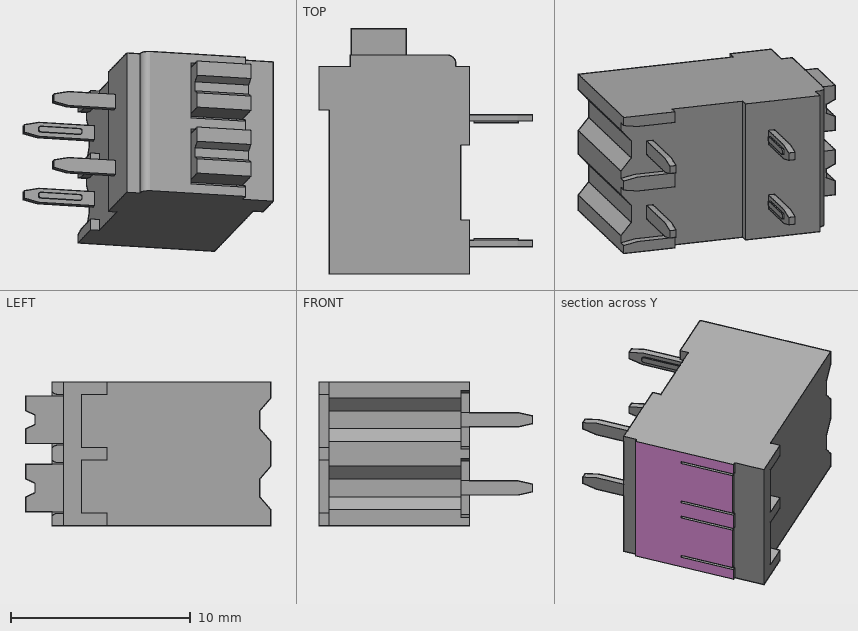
import cadquery as cq

total_length = 13.65
pin_tip_x = 11.9
height = 8.01

pitch = 3.8
middle_z = height / 2
row_heights = [middle_z - pitch / 2, middle_z + pitch / 2]

wall_x = 0.57
foot_x = 8.4
foot_recess_x = 7.9
front_foot_y = 3.02
rear_foot_y = 7.17
flange_start_y = 9.12
shoulder_y = 11.55
nose_y = 12.19
nose_start_x = 1.75
nose_end_x = 7.63
nose_corner_size = 0.41
nose_corner_radius = 0.52

flange_rib = 0.71
window_height = (height - 3 * flange_rib) / 2
window_end_y = 10.54

groove_depth = 0.61
groove_mouth = 2.42
groove_floor = 1.0

opening_front = 3.26
opening_rear = 2.98
opening_taper_depth = 0.82

contact_start_x = 1.8
contact_end_x = 4.87
contact_height = 2.65
notch_depth = 0.52
notch_mouth = 1.01
notch_floor = 0.52
pocket_height = 2.83
flare_length = 0.33
flare_radius = 0.41

pin_height = 0.8
pin_thickness = 0.37
pin_tip_height = 0.44
pin_taper_x = 11.08
front_pin_y = 1.52
rear_pin_y = 8.5
rib_start_x = 8.63
rib_end_x = 11.11
rib_height = 0.33
rib_corner_radius = 0.14
rib_thickness = 0.1


def block(x0, x1, y0, y1, z0, z1):
    return cq.Workplane("XY").box(x1 - x0, y1 - y0, z1 - z0, centered=False).translate((x0, y0, z0))


def trapezoid_along_x(x0, x1, y0, y1, z, width0, width1):
    """Prism along X whose Z width changes from width0 at y0 to width1 at y1."""
    return (
        cq.Workplane("YZ", origin=(x0, 0, z))
        .polyline([(y0, -width0 / 2), (y1, -width1 / 2), (y1, width1 / 2), (y0, width0 / 2)])
        .close()
        .extrude(x1 - x0)
    )


def make_housing_blank():
    outline = [
        (wall_x, 0),
        (foot_x, 0),
        (foot_x, front_foot_y),
        (foot_recess_x, front_foot_y),
        (foot_recess_x, rear_foot_y),
        (foot_x, rear_foot_y),
        (foot_x, shoulder_y),
        (nose_end_x, shoulder_y),
        (nose_end_x, nose_y - nose_corner_size),
    ]
    return (
        cq.Workplane("XY")
        .polyline(outline)
        .radiusArc((nose_end_x - nose_corner_size, nose_y), -nose_corner_radius)
        .lineTo(nose_start_x, nose_y)
        .lineTo(nose_start_x, shoulder_y)
        .lineTo(0, shoulder_y)
        .lineTo(0, flange_start_y)
        .lineTo(wall_x, flange_start_y)
        .close()
        .extrude(height)
    )


def make_flange_window(index):
    bottom = flange_rib + index * (window_height + flange_rib)
    return block(0, wall_x, flange_start_y, window_end_y, bottom, bottom + window_height)


def make_foot_opening(z):
    """Passage through the front foot that narrows at its entry and then runs straight."""
    mouth = trapezoid_along_x(foot_recess_x, foot_x, 0, opening_taper_depth, z, opening_front, opening_rear)
    passage = trapezoid_along_x(foot_recess_x, foot_x, 0, front_foot_y, z, opening_rear, opening_rear)
    return mouth.union(passage)


def make_contact_pocket(z):
    """Slot in the nose, open towards -X and +Y, with walls that curve outwards at its mouth."""
    half = pocket_height / 2
    flare = flare_radius - (flare_radius**2 - flare_length**2) ** 0.5
    flare_y = nose_y - flare_length
    return (
        cq.Workplane("YZ", origin=(nose_start_x, 0, z))
        .moveTo(shoulder_y, -half)
        .lineTo(flare_y, -half)
        .radiusArc((nose_y, -half - flare), flare_radius)
        .lineTo(nose_y, half + flare)
        .radiusArc((flare_y, half), flare_radius)
        .lineTo(shoulder_y, half)
        .close()
        .extrude(contact_end_x - nose_start_x)
    )


def make_contact(z):
    bottom = z - contact_height / 2
    blade = block(contact_start_x, contact_end_x, shoulder_y, total_length, bottom, bottom + contact_height)
    notch = trapezoid_along_x(
        contact_start_x, contact_end_x, total_length - notch_depth, total_length, z, notch_floor, notch_mouth
    )
    return blade.cut(notch)


def make_pin(y, z, rib_y):
    shank = pin_height / 2
    tip = pin_tip_height / 2
    blade = (
        cq.Workplane("XZ", origin=(0, y, z))
        .polyline(
            [
                (foot_recess_x, -shank),
                (pin_taper_x, -shank),
                (pin_tip_x, -tip),
                (pin_tip_x, tip),
                (pin_taper_x, shank),
                (foot_recess_x, shank),
            ]
        )
        .close()
        .extrude(-pin_thickness)
    )
    rib = (
        cq.Workplane("XZ", origin=((rib_start_x + rib_end_x) / 2, rib_y, z))
        .rect(rib_end_x - rib_start_x, rib_height)
        .extrude(-rib_thickness)
        .edges("|Y")
        .fillet(rib_corner_radius)
    )
    return blade.union(rib)


housing = make_housing_blank()
for index, z in enumerate(row_heights):
    groove = trapezoid_along_x(wall_x, foot_x, 0, groove_depth, z, groove_mouth, groove_floor)
    housing = housing.cut(groove)
    housing = housing.cut(make_flange_window(index))
    housing = housing.cut(make_foot_opening(z))
    housing = housing.cut(make_contact_pocket(z))

result = housing
for z in row_heights:
    result = result.union(make_contact(z))
    result = result.union(make_pin(front_pin_y, z, front_pin_y + pin_thickness))
    result = result.union(make_pin(rear_pin_y, z, rear_pin_y - rib_thickness))